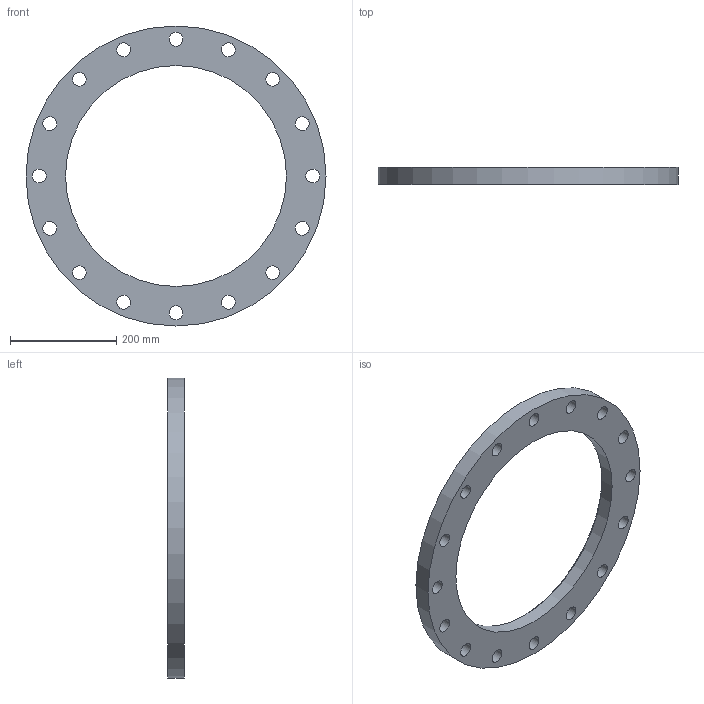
import cadquery as cq

outer_diameter = 565.0
bore_diameter = 416.0
thickness = 32.0

bore_chamfer = 5.0

bolt_circle_diameter = 515.0
bolt_hole_diameter = 26.0
bolt_hole_count = 16


def back_face_plane():
    """Workplane on the +Y face; extrusions from it run toward -Y."""
    return cq.Workplane("XZ", origin=(0, thickness / 2, 0))


def make_disc():
    """Solid disc with the outside diameter of the flange."""
    return back_face_plane().circle(outer_diameter / 2).extrude(thickness)


def make_bore():
    """Through bore, chamfered where it leaves the +Y face."""
    bore = back_face_plane().circle(bore_diameter / 2).extrude(thickness)
    chamfer_cone = (
        back_face_plane()
        .circle(bore_diameter / 2 + bore_chamfer)
        .extrude(bore_chamfer, taper=45)
    )
    return bore.union(chamfer_cone)


def make_bolt_holes():
    """Cylinders on the bolt circle running through the full thickness."""
    return (
        back_face_plane()
        .polarArray(bolt_circle_diameter / 2, 0, 360, bolt_hole_count)
        .circle(bolt_hole_diameter / 2)
        .extrude(thickness)
    )


result = make_disc().cut(make_bore()).cut(make_bolt_holes())